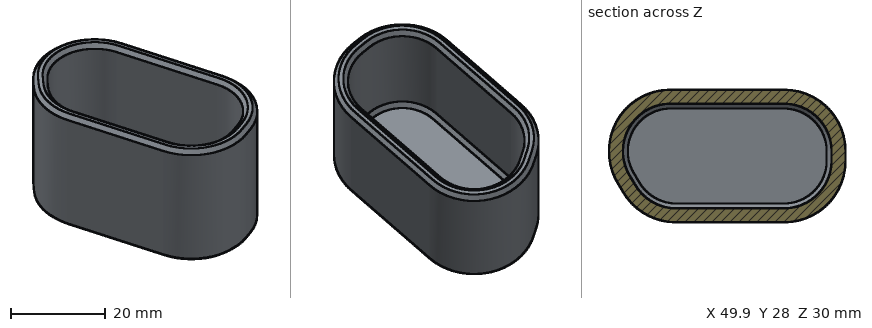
import cadquery as cq
import math

length = 49.9
width = 28.0
height = 30.0

end_flat = 2.0
corner_radius = (width - end_flat) / 2
corner_inset = 1.2
slant_overrun = 1.8

wall = 3.0
floor = 3.0
bevel = 1.0

left_x = -length / 2 + corner_radius
right_x = length / 2 - corner_radius
half_flat = end_flat / 2
back_left = (left_x, half_flat)
back_right = (right_x, half_flat)
front_right = (right_x, -half_flat)
front_left = (left_x + corner_inset, -half_flat)

slant_angle = math.degrees(math.atan2(-corner_inset, -end_flat)) % 360


def on_arc(center, radius, angle):
    """Point on a corner arc at an angle in degrees from +X."""
    turn = math.radians(angle)
    return (center[0] + radius * math.cos(turn), center[1] + radius * math.sin(turn))


def outline_prism(inset, bottom, depth):
    """Upright prism whose outline lies a given inset inside the outer wall."""
    radius = corner_radius - inset
    corners = [
        (back_right, 0, 90),
        (back_left, 90, slant_angle + slant_overrun),
        (front_left, slant_angle, 270),
        (front_right, -90, 0),
    ]
    sketch = cq.Workplane("XY", origin=(0, 0, bottom))
    sketch = sketch.moveTo(*on_arc(back_right, radius, 0))
    for index, (center, start, end) in enumerate(corners):
        if index > 0:
            sketch = sketch.lineTo(*on_arc(center, radius, start))
        middle = on_arc(center, radius, (start + end) / 2)
        sketch = sketch.threePointArc(middle, on_arc(center, radius, end))
    return sketch.close().extrude(depth)


cavity = outline_prism(wall, floor, height - floor).faces("<Z").chamfer(bevel)

cup = outline_prism(0, 0, height).cut(cavity)
result = cup.faces("<Z or >Z").chamfer(bevel)